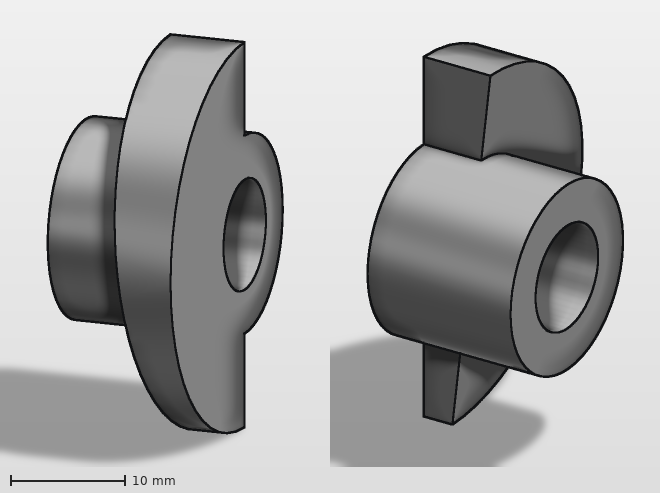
import cadquery as cq

flange_diameter = 35.0
hub_diameter = 18.0
bore_diameter = 10.0
hub_length = 15.0
flange_top_thickness = 7.0
flange_bottom_thickness = 3.0

flange_radius = flange_diameter / 2


def half_wedge_flange():
    """Half disc on the -Y side, flat on its +X face and sloped on its -X face."""
    disc = cq.Workplane("YZ").circle(flange_radius).extrude(hub_length)
    taper = (
        cq.Workplane("XZ")
        .moveTo(hub_length, -flange_radius)
        .lineTo(hub_length, flange_radius)
        .lineTo(hub_length - flange_top_thickness, flange_radius)
        .lineTo(hub_length - flange_bottom_thickness, -flange_radius)
        .close()
        .extrude(flange_radius)
    )
    return disc.intersect(taper)


hub = cq.Workplane("YZ").circle(hub_diameter / 2).extrude(hub_length)
bore = cq.Workplane("YZ").circle(bore_diameter / 2).extrude(hub_length)

result = hub.union(half_wedge_flange()).cut(bore)